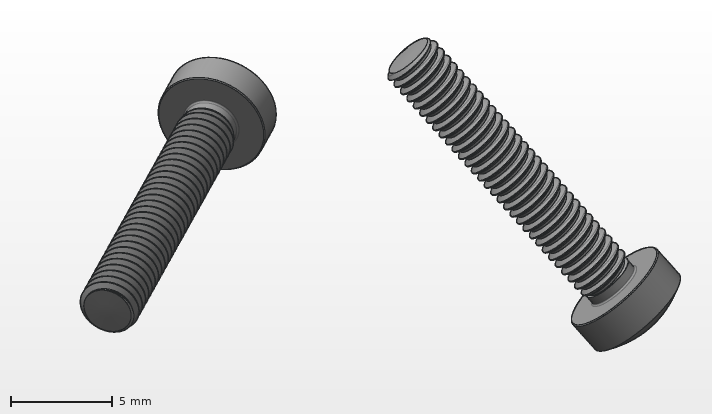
import cadquery as cq
import math

total_length = 18.4
head_top = total_length / 2
tip_end = -total_length / 2

head_radius = 2.8
head_flat_radius = 1.53
dome_height = 0.6
dome_bulge = 0.04
head_height = 2.4
head_edge_chamfer = 0.05
head_underside = head_top - head_height

neck_radius = 1.36
neck_fillet = 0.1
neck_length = 0.53
neck_end = head_underside - neck_length

thread_diameter = 3.0
thread_radius = thread_diameter / 2
pitch = thread_diameter / 6
crest_width = pitch / 8
root_width = pitch / 4
flank_slope = math.tan(math.radians(30))
thread_depth = (pitch - crest_width - root_width) / 2 / flank_slope
root_radius = thread_radius - thread_depth
crest_position = 0.28
lead_in_length = 0.37
groove_overshoot = 0.04

tip_radius = 1.25
tip_cone_height = 0.04
tip_chamfer = 0.24


def make_head():
    """Cylinder with a shallow curved crown and a flat top."""
    rim_y = head_top - dome_height
    mid_radius = (head_radius + head_flat_radius) / 2 + dome_bulge / 2
    mid_y = head_top - dome_height / 2 + dome_bulge
    return (
        cq.Workplane("XY")
        .moveTo(0, head_top)
        .lineTo(head_flat_radius, head_top)
        .threePointArc((mid_radius, mid_y), (head_radius, rim_y))
        .lineTo(head_radius, head_underside + head_edge_chamfer)
        .lineTo(head_radius - head_edge_chamfer, head_underside)
        .lineTo(0, head_underside)
        .close()
        .revolve(360, (0, 0), (0, 1))
    )


def revolve_about_y(points):
    """Solid of revolution about Y from an outline of (radius, y) points."""
    return cq.Workplane("XY").polyline(points).close().revolve(360, (0, 0), (0, 1))


def make_neck():
    """Plain cylinder between the head and the thread, with a fillet under the head."""
    return (
        cq.Workplane("XY")
        .moveTo(0, head_underside)
        .lineTo(neck_radius + neck_fillet, head_underside)
        .radiusArc((neck_radius, head_underside - neck_fillet), -neck_fillet)
        .lineTo(neck_radius, neck_end)
        .lineTo(0, neck_end)
        .close()
        .revolve(360, (0, 0), (0, 1))
    )


def make_thread_stock():
    """Short threaded rod that covers the first pitch below the neck with turns to spare."""
    turns = 4
    stock_length = turns * pitch
    crests_below_neck = math.floor((neck_end - tip_end - crest_position) / pitch)
    groove_start = tip_end + crest_position + (crests_below_neck - turns / 2 - 0.5) * pitch

    half_root = root_width / 2
    half_mouth = (pitch - crest_width) / 2 + groove_overshoot * flank_slope
    outer_radius = thread_radius + groove_overshoot
    groove = (
        cq.Workplane("XZ")
        .polyline([
            (root_radius, -half_root),
            (outer_radius, -half_mouth),
            (outer_radius, half_mouth),
            (root_radius, half_root),
        ])
        .close()
        .sweep(cq.Workplane(obj=cq.Wire.makeHelix(pitch, stock_length, root_radius)), isFrenet=True)
    )
    rod = cq.Workplane("XY").circle(thread_radius).extrude(stock_length)
    return (
        rod.cut(groove)
        .rotate((0, 0, 0), (0, 0, 1), 180)
        .rotate((0, 0, 0), (1, 0, 0), -90)
        .translate((0, groove_start, 0))
    )


def stack_slices(thread_slice, count):
    """Stack of one-pitch slices going down from the given one, built up by doubling."""
    if count == 1:
        return thread_slice
    half_count = count // 2
    half = stack_slices(thread_slice, half_count)
    stack = half.union(half.translate((0, -half_count * pitch, 0)), clean=False, glue=True)
    if count % 2 == 1:
        extra = thread_slice.translate((0, -(count - 1) * pitch, 0))
        stack = stack.union(extra, clean=False, glue=True)
    return stack


def make_thread():
    """Thread stacked from one-pitch slices, tapered at the neck and chamfered at the tip."""
    stock = make_thread_stock()
    clear_radius = 2 * thread_radius
    slice_bottom = neck_end - pitch
    whole_slices = math.floor((neck_end - tip_end) / pitch)

    lead_in = stock.intersect(revolve_about_y([
        (0, neck_end),
        (neck_radius, neck_end),
        (thread_radius, neck_end - lead_in_length),
        (clear_radius, neck_end - lead_in_length),
        (clear_radius, slice_bottom),
        (0, slice_bottom),
    ]))
    plain_slice = stock.intersect(revolve_about_y([
        (0, neck_end),
        (clear_radius, neck_end),
        (clear_radius, slice_bottom),
        (0, slice_bottom),
    ]))

    tip_drop = whole_slices * pitch
    cone_base = tip_end + tip_cone_height + tip_drop
    tip = stock.intersect(revolve_about_y([
        (0, neck_end),
        (clear_radius, neck_end),
        (clear_radius, cone_base + tip_chamfer),
        (thread_radius, cone_base + tip_chamfer),
        (tip_radius, cone_base),
        (0, tip_end + tip_drop),
    ]))

    middle = stack_slices(plain_slice.translate((0, -pitch, 0)), whole_slices - 1)
    tip = tip.translate((0, -tip_drop, 0))
    return lead_in.union(middle, clean=False, glue=True).union(tip, clean=False, glue=True)


result = make_head().union(make_neck()).union(make_thread(), clean=False)